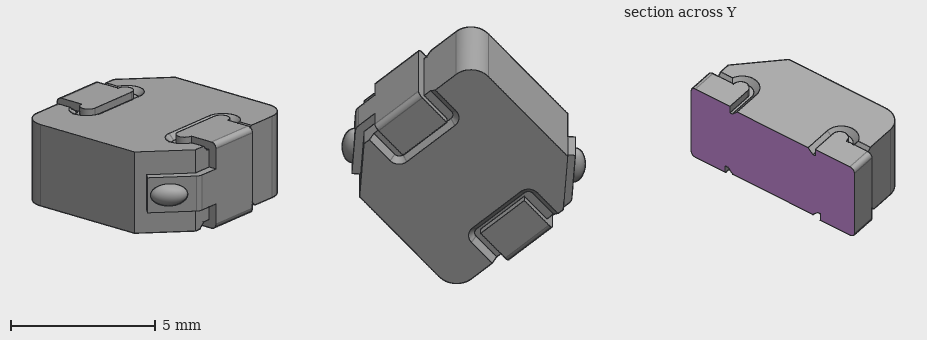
import cadquery as cq
import math

BODY_WIDTH = 6.5
BODY_HEIGHT = 3.02
CORNER_RADIUS = 0.8
CORNER_CHAMFER = 1.5

SHEET = 0.3
CLIP_WIDTH = 2.0
CLIP_HEIGHT = 3.2
FOLD_RADIUS = 0.2
LOWER_TAB_END_X = -2.05
LOBE_RADIUS = 0.3
LOBE_X = -2.15

BEND_ANGLE = 45
ARM_HEIGHT = 1.3
ARM_LENGTH = 1.7

BUMP_HALF_LENGTH = 0.65
BUMP_RADIUS = 0.4
BUMP_FROM_BEND = 0.95

TAB_GAP = 0.1
LOWER_SIDE_GAP = 0.3
LOWER_CORNER_RADIUS = 0.2
WALL_SLOPE = 45

HALF_WIDTH = BODY_WIDTH / 2
HALF_HEIGHT = BODY_HEIGHT / 2
HALF_CLIP_WIDTH = CLIP_WIDTH / 2
HALF_CLIP_HEIGHT = CLIP_HEIGHT / 2
FLOOR_Z = HALF_CLIP_HEIGHT - SHEET
RECESS_DEPTH = HALF_HEIGHT - FLOOR_Z
OUTER_X = -HALF_WIDTH - SHEET
BEND_Y = HALF_WIDTH - CORNER_CHAMFER
DIAGONAL = math.cos(math.radians(BEND_ANGLE))


def box_between(x_range, y_range, z_range):
    """Box spanning the given (low, high) limits."""
    lengths = [high - low for low, high in (x_range, y_range, z_range)]
    corner = (x_range[0], y_range[0], z_range[0])
    return cq.Workplane("XY").box(*lengths, centered=False).translate(corner)


def half_turn(shape):
    """Copy turned 180 degrees about Z, giving the matching feature on the +X side."""
    return shape.rotate((0, 0, 0), (0, 0, 1), 180)


def along_arm(distance, offset):
    """Point at a distance past the bend and an offset out from the chamfer face."""
    x = -HALF_WIDTH + (distance - offset) * DIAGONAL
    y = BEND_Y + (distance + offset) * DIAGONAL
    return (x, y)


def make_body():
    """Square block with two rounded and two chamfered upright corners."""
    block = cq.Workplane("XY").box(BODY_WIDTH, BODY_WIDTH, BODY_HEIGHT)
    rounded = block.edges("|Z").edges("<(1, 1, 0) or >(1, 1, 0)").fillet(CORNER_RADIUS)
    return rounded.edges("|Z").edges("<(1, -1, 0) or >(1, -1, 0)").chamfer(CORNER_CHAMFER)


def upper_recess():
    """Open channel running into a slot-shaped pocket on the top face."""
    floor_half_width = HALF_CLIP_WIDTH + TAB_GAP
    slot_radius = LOBE_RADIUS + TAB_GAP
    slot_length = 2 * (floor_half_width + slot_radius)
    floor = cq.Workplane("XY").workplane(offset=FLOOR_Z)
    channel = (
        floor.center((OUTER_X + LOBE_X) / 2, 0)
        .rect(LOBE_X - OUTER_X, 2 * floor_half_width)
        .extrude(RECESS_DEPTH, taper=-WALL_SLOPE)
    )
    pocket = (
        floor.center(LOBE_X, 0)
        .slot2D(slot_length, 2 * slot_radius, 90)
        .extrude(RECESS_DEPTH, taper=-WALL_SLOPE)
    )
    return channel.union(pocket)


def lower_recess():
    """Round-cornered pocket on the bottom face, open at the -X side."""
    inner_x = LOWER_TAB_END_X + TAB_GAP
    floor_width = CLIP_WIDTH + 2 * LOWER_SIDE_GAP
    floor_length = inner_x - OUTER_X + LOWER_CORNER_RADIUS
    outline = (
        cq.Sketch()
        .rect(floor_length, floor_width)
        .vertices()
        .fillet(LOWER_CORNER_RADIUS)
    )
    return (
        cq.Workplane("XY", origin=(inner_x - floor_length / 2, 0, FLOOR_Z))
        .placeSketch(outline)
        .extrude(RECESS_DEPTH, taper=-WALL_SLOPE)
        .mirror("XY")
    )


def make_strip():
    """Folded strip: outer wall, lower tab, and upper tab with a lobe at each side."""
    width = (-HALF_CLIP_WIDTH, HALF_CLIP_WIDTH)
    wall = box_between((OUTER_X, -HALF_WIDTH), width, (-HALF_CLIP_HEIGHT, HALF_CLIP_HEIGHT))
    lower_tab = box_between((OUTER_X, LOWER_TAB_END_X), width, (-HALF_CLIP_HEIGHT, -FLOOR_Z))
    upper_tab = box_between((OUTER_X, LOBE_X), width, (FLOOR_Z, HALF_CLIP_HEIGHT))
    folded = wall.union(lower_tab).union(upper_tab)
    folded = folded.edges("|Y and <X").fillet(FOLD_RADIUS)
    lobes = (
        cq.Workplane("XY", origin=(LOBE_X, 0, FLOOR_Z))
        .slot2D(CLIP_WIDTH + 2 * LOBE_RADIUS, 2 * LOBE_RADIUS, 90)
        .extrude(SHEET)
    )
    return folded.union(lobes)


def make_arm():
    """Side arm of the strip, rolled round the body edge onto the chamfer face."""
    half_bend = math.radians(BEND_ANGLE / 2)
    bend_middle = (
        -HALF_WIDTH - SHEET * math.cos(half_bend),
        BEND_Y + SHEET * math.sin(half_bend),
    )
    return (
        cq.Workplane("XY", origin=(0, 0, -ARM_HEIGHT / 2))
        .moveTo(-HALF_WIDTH, HALF_CLIP_WIDTH)
        .lineTo(OUTER_X, HALF_CLIP_WIDTH)
        .lineTo(OUTER_X, BEND_Y)
        .threePointArc(bend_middle, along_arm(0, SHEET))
        .lineTo(*along_arm(ARM_LENGTH, SHEET))
        .lineTo(*along_arm(ARM_LENGTH, 0))
        .lineTo(-HALF_WIDTH, BEND_Y)
        .close()
        .extrude(ARM_HEIGHT)
    )


def make_bump():
    """Half ellipsoid, longest along the arm, standing on the arm's outer face."""
    centre = along_arm(BUMP_FROM_BEND, SHEET)
    arm_face = cq.Plane(
        origin=(*centre, 0),
        xDir=(DIAGONAL, DIAGONAL, 0),
        normal=(0, 0, 1),
    )
    return (
        cq.Workplane(arm_face)
        .moveTo(BUMP_HALF_LENGTH, 0)
        .ellipseArc(BUMP_HALF_LENGTH, BUMP_RADIUS, 0, 180, startAtCurrent=True)
        .close()
        .revolve(180, (0, 0, 0), (-1, 0, 0))
        .rotate((*centre, 0), (centre[0] + 1, centre[1] + 1, 0), 90)
    )


body = make_body()
for recess in (upper_recess(), lower_recess()):
    body = body.cut(recess).cut(half_turn(recess))

clip = make_strip().union(make_arm()).union(make_bump())
result = body.union(clip).union(half_turn(clip))